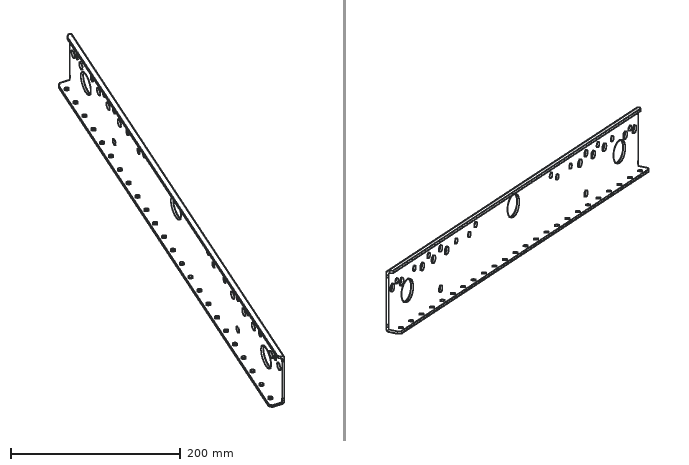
import cadquery as cq

length = 609.6
depth = 19.05
height = 77.72

sheet = 3.18
inner_bend_radius = 0.76
outer_bend_radius = inner_bend_radius + sheet
lip_depth = 7.92
corner_chamfer = 3.18

front_y = -depth / 2
back_y = depth / 2
top_z = height / 2
bottom_z = -height / 2
lip_front_y = back_y - lip_depth

flange_hole_diameter = 5.33
flange_hole_pitch = 25.4
flange_hole_count = 24
flange_hole_edge_distance = 6.35

opening_diameter = 28.57
centre_opening_z = 17.6
side_opening_x = 258.6
side_opening_z = -2.0

notch_diameter = 6.76
notch_depth = 0.4
notch_edge_distance = 7.5

web_holes_by_diameter = {
    6.71: [
        (91.9, 24.8),
        (107.4, 17.5),
        (139.5, 20.2),
        (206.5, 24.8),
        (241.3, 20.3),
        (284.5, 19.0),
    ],
    8.13: [(177.3, 23.6), (177.3, -27.4)],
    9.65: [
        (162.6, 16.0),
        (194.8, 16.0),
        (222.2, 16.0),
        (272.8, 14.1),
        (295.1, 14.1),
    ],
}


def folded_channel():
    """Web at the back with a short lip on top and a full flange at the bottom."""
    inner_y = back_y - sheet
    section = (
        cq.Workplane("YZ")
        .moveTo(front_y, bottom_z)
        .lineTo(back_y, bottom_z)
        .lineTo(back_y, top_z)
        .lineTo(lip_front_y, top_z)
        .lineTo(lip_front_y, top_z - sheet)
        .lineTo(inner_y, top_z - sheet)
        .lineTo(inner_y, bottom_z + sheet)
        .lineTo(front_y, bottom_z + sheet)
        .close()
    )
    channel = section.extrude(length / 2, both=True)
    channel = channel.edges("|X and >Y").fillet(outer_bend_radius)
    inner_bends = cq.selectors.BoxSelector(
        (-length, inner_y - sheet / 2, bottom_z),
        (length, inner_y + sheet / 2, top_z),
    )
    return channel.edges("|X").edges(inner_bends).fillet(inner_bend_radius)


def chamfer_free_corners(channel):
    """Chamfer the outer corners of the flange and the lip at both ends."""
    lip_corners = cq.selectors.BoxSelector(
        (-length, lip_front_y - sheet / 2, top_z - sheet),
        (length, lip_front_y + sheet / 2, top_z),
    )
    channel = channel.edges("|Z and <Y").chamfer(corner_chamfer)
    return channel.edges("|Z").edges(lip_corners).chamfer(corner_chamfer)


def web_cutter(points, diameter):
    """Cylinders along Y that pass through the web at the given (x, z) points."""
    return (
        cq.Workplane("XZ")
        .pushPoints(points)
        .circle(diameter / 2)
        .extrude(depth, both=True)
    )


def mirrored(points):
    """The points together with their mirror images across the middle of the part."""
    return points + [(-x, z) for x, z in points]


def flange_cutter():
    """Evenly spaced vertical cylinders along the bottom flange."""
    return (
        cq.Workplane("XY", origin=(0, front_y + flange_hole_edge_distance, bottom_z))
        .rarray(flange_hole_pitch, 1, flange_hole_count, 1)
        .circle(flange_hole_diameter / 2)
        .extrude(sheet)
    )


result = chamfer_free_corners(folded_channel())
result = result.cut(flange_cutter())

openings = [(0, centre_opening_z)] + mirrored([(side_opening_x, side_opening_z)])
result = result.cut(web_cutter(openings, opening_diameter))

notch_x = length / 2 + notch_diameter / 2 - notch_depth
notch_z = height / 2 - notch_edge_distance
notches = mirrored([(notch_x, notch_z), (notch_x, -notch_z)])
result = result.cut(web_cutter(notches, notch_diameter))

for diameter, holes in web_holes_by_diameter.items():
    result = result.cut(web_cutter(mirrored(holes), diameter))